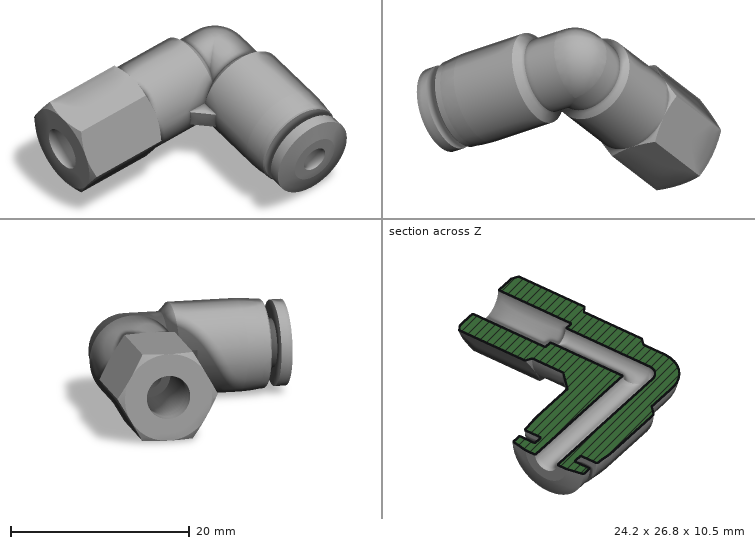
import cadquery as cq
import math


overall_length = 26.75
body_diameter = 10.5
body_radius = body_diameter / 2

elbow_radius = 4.25
bore_radius = 1.5

nut_flats = 10.0
nut_length = 10.0
nut_end = overall_length - body_radius
nut_start = nut_end - nut_length
nut_corner_angle = 30.0
thread_radius = 2.5
thread_depth = nut_length
barrel_radius = nut_flats / 2
barrel_start = 2.75

body_start = 3.99
body_chamfer = body_radius - elbow_radius
crown_start = 12.8
crown_end = 14.75
crown_radius = 5.08
body_end = 15.62
rim_radius = 5.03
rim_bevel = 0.13
collar_radius = 2.75
flange_start = 16.75
flange_edge = 18.03
flange_radius = 4.87
flange_end = 18.43
flange_face_radius = 2.78

gusset_leg = 2.0
gusset_width = 2.0


def cylinder_along_x(radius, length):
    return cq.Workplane("YZ").circle(radius).extrude(length)


def cylinder_along_minus_y(radius, length, start=0.0):
    return cq.Workplane("XZ", origin=(0, -start, 0)).circle(radius).extrude(length)


def make_barrel():
    taper_length = barrel_radius - elbow_radius
    profile = (
        cq.Workplane("XY")
        .moveTo(0, 0)
        .lineTo(elbow_radius, 0)
        .lineTo(elbow_radius, -barrel_start)
        .lineTo(barrel_radius, -barrel_start - taper_length)
        .lineTo(barrel_radius, -nut_start)
        .lineTo(0, -nut_start)
        .close()
    )
    return profile.revolve(360, (0, 0, 0), (0, 1, 0))


def make_nut():
    corner_radius = nut_flats / math.sqrt(3)
    face_radius = nut_flats / 2
    bevel = (corner_radius - face_radius) * math.tan(math.radians(nut_corner_angle))
    hexagon = (
        cq.Workplane("XZ", origin=(0, -nut_start, 0))
        .polygon(6, 2 * corner_radius)
        .extrude(nut_length)
    )
    envelope = (
        cq.Workplane("XY")
        .moveTo(0, -nut_start)
        .lineTo(face_radius, -nut_start)
        .lineTo(corner_radius, -nut_start - bevel)
        .lineTo(corner_radius, -nut_end + bevel)
        .lineTo(face_radius, -nut_end)
        .lineTo(0, -nut_end)
        .close()
        .revolve(360, (0, 0, 0), (0, 1, 0))
    )
    return hexagon.intersect(envelope)


def make_tube_arm():
    profile = (
        cq.Workplane("XY")
        .moveTo(0, 0)
        .lineTo(0, elbow_radius)
        .lineTo(body_start, elbow_radius)
        .lineTo(body_start + body_chamfer, body_radius)
        .lineTo(crown_start, body_radius)
        .tangentArcPoint((crown_end, crown_radius), relative=False)
        .lineTo(body_end - rim_bevel, rim_radius)
        .lineTo(body_end, rim_radius - rim_bevel)
        .lineTo(body_end, collar_radius)
        .lineTo(flange_start, collar_radius)
        .lineTo(flange_start, flange_radius)
        .lineTo(flange_edge, flange_radius)
        .lineTo(flange_end, flange_face_radius)
        .lineTo(flange_end, 0)
        .close()
    )
    return profile.revolve(360, (0, 0, 0), (1, 0, 0))


def make_gusset():
    tip_x = barrel_radius + gusset_leg
    tip_y = -body_radius - gusset_leg
    return (
        cq.Workplane("XY")
        .moveTo(elbow_radius, -elbow_radius)
        .lineTo(tip_x, -elbow_radius)
        .lineTo(tip_x, -body_radius)
        .lineTo(barrel_radius, tip_y)
        .lineTo(elbow_radius, tip_y)
        .close()
        .extrude(gusset_width / 2, both=True)
    )


def make_passage():
    return (
        cq.Workplane("XY")
        .sphere(bore_radius)
        .union(cylinder_along_x(bore_radius, flange_end))
        .union(cylinder_along_minus_y(bore_radius, nut_end))
        .union(cylinder_along_minus_y(thread_radius, thread_depth, nut_end - thread_depth))
    )


elbow = cq.Workplane("XY").sphere(elbow_radius)
outside = elbow.union(make_barrel()).union(make_nut()).union(make_tube_arm()).union(make_gusset())
result = outside.cut(make_passage())